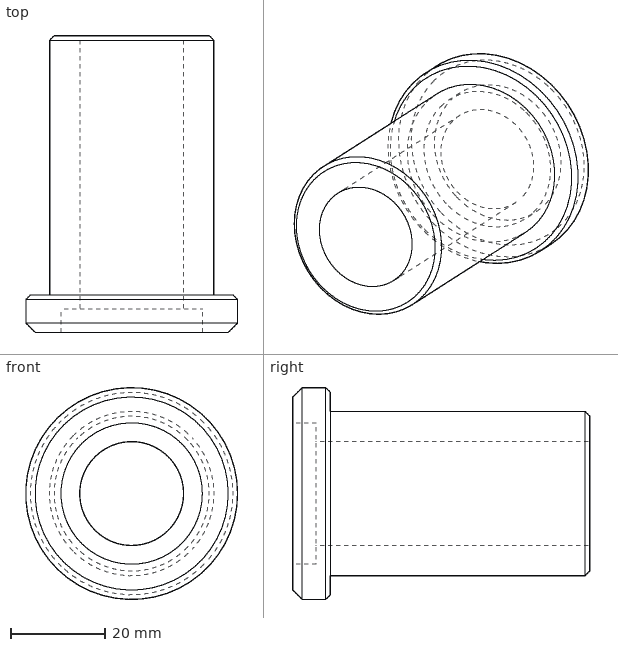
import cadquery as cq

total_length = 63.0
body_diameter = 34.9
body_end_chamfer = 1.0
flange_diameter = 45.0
flange_thickness = 8.0
flange_front_chamfer = 2.0
flange_back_chamfer = 1.0
bore_diameter = 22.0
counterbore_diameter = 30.0
counterbore_depth = 5.0


def cylinder_along_y(diameter, length):
    """Solid cylinder from Y = 0 to Y = length."""
    return cq.Workplane("XZ").circle(diameter / 2).extrude(-length)


flange = cylinder_along_y(flange_diameter, flange_thickness)
flange = flange.faces("<Y").edges().chamfer(flange_front_chamfer)
flange = flange.faces(">Y").edges().chamfer(flange_back_chamfer)

body = cylinder_along_y(body_diameter, total_length)
body = body.faces(">Y").edges().chamfer(body_end_chamfer)

bore = cylinder_along_y(bore_diameter, total_length)
counterbore = cylinder_along_y(counterbore_diameter, counterbore_depth)

result = flange.union(body).cut(bore).cut(counterbore)